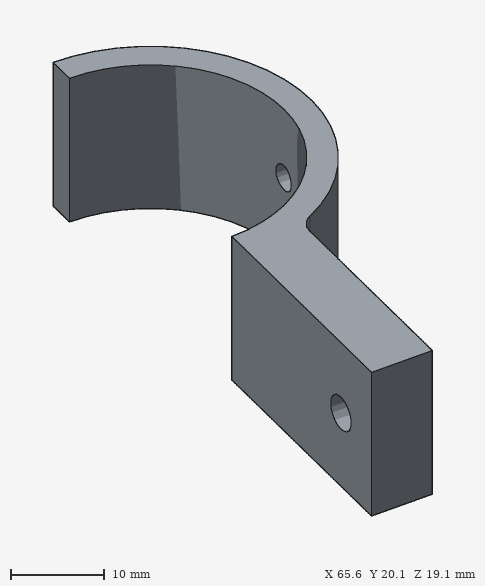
import cadquery as cq
import math

length = 65.56
height = 19.05
outer_radius = 20.08
wall_thickness = 3.38
tab_thickness = 7.62
junction_radius = 2.54

saddle_hole_diameter = 3.17
saddle_hole_z = 9.97
tab_hole_diameter = 4.2
tab_hole_z = 9.7
tab_hole_end_distance = 6.3

inner_radius = outer_radius - wall_thickness
tab_start_x = inner_radius + wall_thickness / 2
tab_end_x = length - outer_radius
tab_hole_x = tab_end_x - tab_hole_end_distance
cut_length = outer_radius + wall_thickness


def half_ring():
    """Half of a tube, open towards -Y."""
    return (
        cq.Workplane("XY")
        .moveTo(-outer_radius, 0)
        .threePointArc((0, outer_radius), (outer_radius, 0))
        .lineTo(inner_radius, 0)
        .threePointArc((0, inner_radius), (-inner_radius, 0))
        .close()
        .extrude(height)
    )


def mounting_tab():
    """Flat tab that starts inside the wall of the half ring."""
    tab_length = tab_end_x - tab_start_x
    return (
        cq.Workplane("XY")
        .box(tab_length, tab_thickness, height, centered=False)
        .translate((tab_start_x, 0, 0))
    )


def round_junction(body):
    """Fillet the inside corner between the ring's outer face and the tab."""
    corner_x = math.sqrt(outer_radius**2 - tab_thickness**2)
    corner = cq.selectors.NearestToPointSelector((corner_x, tab_thickness, height / 2))
    return body.edges("|Z").edges(corner).fillet(junction_radius)


def hole_along_y(diameter, x, z):
    """Cylinder along +Y from the flat face, long enough to pass through the part."""
    return cq.Workplane("XZ").center(x, z).circle(diameter / 2).extrude(-cut_length)


result = half_ring().union(mounting_tab())
result = round_junction(result)
result = result.cut(hole_along_y(saddle_hole_diameter, 0, saddle_hole_z))
result = result.cut(hole_along_y(tab_hole_diameter, tab_hole_x, tab_hole_z))